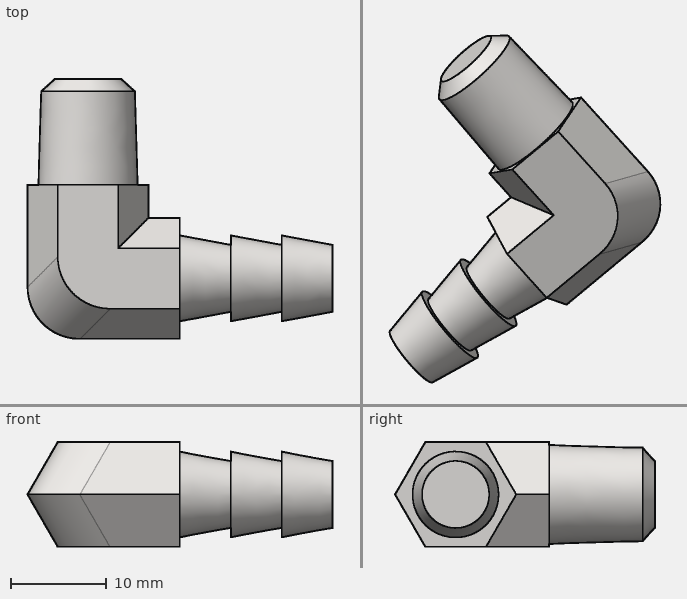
import cadquery as cq
import math

across_flats = 10.97
half_flats = across_flats / 2
half_corners = half_flats / math.cos(math.pi / 6)
body_length_x = 15.95
body_length_y = 16.1
bend_radius = 5.45
leg_end_x = body_length_x - half_corners
leg_end_y = body_length_y - half_corners

total_length_x = 31.9
barb_count = 3
barb_length = (total_length_x - body_length_x) / barb_count
barb_large_radius = 4.5
barb_small_radius = 3.5

total_length_y = 27.18
stem_end_y = total_length_y - half_corners
stem_base_radius = 5.2
stem_tip_radius = 4.9
tip_cone_length = 1.3
stem_end_radius = 3.48


def elbow_outline(workplane, half_width):
    """L-shaped section of the elbow where each leg is 2 * half_width wide."""
    arc_center = bend_radius - half_width
    arc_middle = arc_center - bend_radius * math.sqrt(0.5)
    return (
        workplane.moveTo(leg_end_x, -half_width)
        .lineTo(leg_end_x, half_width)
        .lineTo(half_width, half_width)
        .lineTo(half_width, leg_end_y)
        .lineTo(-half_width, leg_end_y)
        .lineTo(-half_width, arc_center)
        .threePointArc((arc_middle, arc_middle), (arc_center, -half_width))
        .close()
    )


def make_elbow():
    """The upper half narrows from corners to flats; the lower half mirrors it."""
    middle = elbow_outline(cq.Workplane("XY"), half_corners)
    flat = elbow_outline(middle.workplane(offset=half_flats), half_corners / 2)
    upper_half = flat.loft(ruled=True)
    return upper_half.union(upper_half.mirror("XY"))


def make_hose_tail():
    """Sawtooth profile revolved about the X axis."""
    profile = cq.Workplane("XY").moveTo(leg_end_x, 0)
    for index in range(barb_count):
        barb_start = leg_end_x + index * barb_length
        profile = profile.lineTo(barb_start, barb_large_radius)
        profile = profile.lineTo(barb_start + barb_length, barb_small_radius)
    tail_end = leg_end_x + barb_count * barb_length
    return profile.lineTo(tail_end, 0).close().revolve(360, (0, 0, 0), (1, 0, 0))


def make_pipe_stem():
    """Tapered profile revolved about the Y axis."""
    return (
        cq.Workplane("XY")
        .moveTo(0, leg_end_y)
        .lineTo(stem_base_radius, leg_end_y)
        .lineTo(stem_tip_radius, stem_end_y - tip_cone_length)
        .lineTo(stem_end_radius, stem_end_y)
        .lineTo(0, stem_end_y)
        .close()
        .revolve(360, (0, 0, 0), (0, 1, 0))
    )


result = make_elbow().union(make_hose_tail()).union(make_pipe_stem())